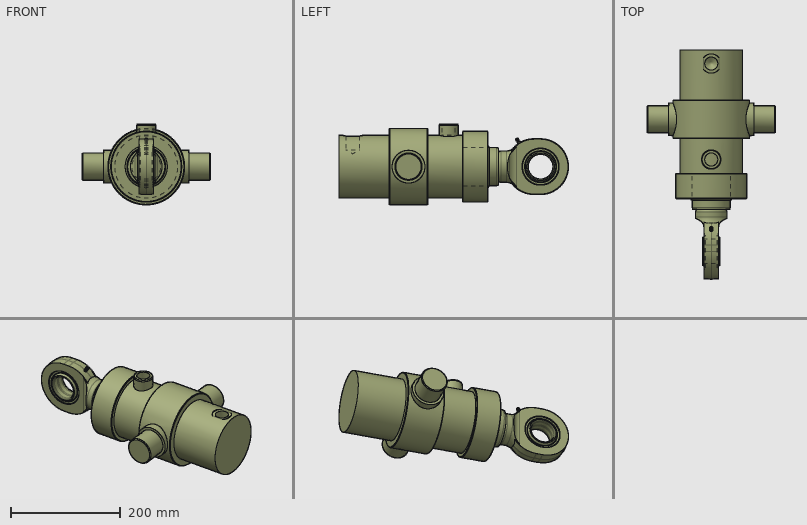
import cadquery as cq
import math


total_length = 419.0
eye_dia = 100.0
eye_crown = 1.05
eye_peak_radius = eye_dia / 2 + eye_crown
barrel_rear = total_length - eye_peak_radius
trunnion_y = 241.0
rear_port_y = 342.7
front_port_y = 167.5
collar_rear = 142.5
collar_front = 96.0
rod_tip = 76.5

barrel_dia = 115.0
collar_dia = 130.0
collar_chamfer = 1.3
ring_dia = 140.0
ring_width = 70.5
ring_chamfer = 1.3
lip_base_dia = 77.0
lip_tip_dia = 71.0
lip_length = 3.0

trunnion_span = 235.0
shoulder_span = 156.0
shoulder_dia = 60.0
trunnion_dia = 50.0
trunnion_chamfer = 1.5

port_dia = 24.0
port_seat_dia = 35.0
boss_top = 77.5
boss_chamfer_height = 2.5
boss_chamfer_inset = 1.05
spotface_depth = 1.5
rear_port_depth = 25.0
drill_tip_angle = 118.0

rod_dia = 70.0
rod_chamfer_length = 3.8
rod_chamfer_inset = 1.05

shank_dia = 58.0
neck_dia = 53.0
neck_length = 4.5
eye_straight = 11.7
shank_fillet = 21.0
eye_width = 27.2
flat_end = 44.0
flare_radius = 14.0
flare_angle = 62.0

bearing_seat_dia = 68.0
bearing_seat_floor_dia = 65.8
bearing_seat_depth = 1.05
ball_gap_dia = 58.2
ball_gap_depth = 1.5
ball_dia = 60.0
ball_width = 32.0
bore_dia = 45.0
bore_rounding = 1.3
groove_dia = 46.0
groove_width = 3.5

nipple_tilt = 32.0
nipple_base_dia = 6.0
nipple_base_height = 2.5
nipple_neck_dia = 3.55
nipple_neck_height = 4.5
nipple_head_dia = 6.0
nipple_head_start = 6.0
nipple_head_end = 8.0
nipple_tip_dia = 3.0
nipple_tip_height = 9.5
nipple_root = 2.0


def cylinder_y(diameter, y_start, y_end):
    """Solid cylinder on the Y axis between two stations."""
    return cq.Workplane("XZ", origin=(0, y_start, 0)).circle(diameter / 2).extrude(y_start - y_end)


def cylinder_x(diameter, length):
    """Solid cylinder on the X axis, centred on the eye."""
    return cq.Workplane("YZ").circle(diameter / 2).extrude(length / 2, both=True)


def make_trunnion():
    """Ring around the barrel with two stepped pins."""
    ring = cylinder_y(ring_dia, trunnion_y - ring_width / 2, trunnion_y + ring_width / 2)
    ring = ring.faces("<Y or >Y").chamfer(ring_chamfer)
    pins = cylinder_x(trunnion_dia, trunnion_span).faces("<X or >X").chamfer(trunnion_chamfer)
    pins = pins.union(cylinder_x(shoulder_dia, shoulder_span))
    return ring.union(pins.translate((0, trunnion_y, 0)))


def make_collar():
    """Front collar with a tapered wiper lip around the rod."""
    collar = cylinder_y(collar_dia, collar_front, collar_rear)
    collar = collar.faces("<Y or >Y").chamfer(collar_chamfer)
    lip = (
        cq.Workplane("XZ", origin=(0, collar_front, 0))
        .circle(lip_base_dia / 2)
        .workplane(offset=lip_length)
        .circle(lip_tip_dia / 2)
        .loft(ruled=True)
    )
    return collar.union(lip)


def add_front_port(body):
    """Raised port boss; its hole stops at the barrel surface."""
    boss = cq.Workplane("XY", origin=(0, front_port_y, 0)).circle(port_seat_dia / 2).extrude(boss_top)
    boss = boss.faces(">Z").chamfer(boss_chamfer_height, boss_chamfer_inset)
    hole = cq.Workplane("XY", origin=(0, front_port_y, 0)).circle(port_dia / 2).extrude(boss_top)
    hole = hole.cut(cylinder_y(barrel_dia, collar_front, barrel_rear))
    return body.union(boss).cut(hole)


def add_rear_port(body):
    """Drilled port with a conical bottom in a shallow spotface."""
    seat_z = barrel_dia / 2 - spotface_depth
    spotface = (
        cq.Workplane("XY", origin=(0, rear_port_y, seat_z)).circle(port_seat_dia / 2).extrude(port_seat_dia)
    )
    tip_height = port_dia / 2 / math.tan(math.radians(drill_tip_angle / 2))
    drill = (
        cq.Workplane("XZ")
        .polyline([
            (0, 0),
            (port_dia / 2, 0),
            (port_dia / 2, -rear_port_depth),
            (0, -rear_port_depth - tip_height),
        ])
        .close()
        .revolve(360, (0, 0), (0, 1))
        .translate((0, rear_port_y, seat_z))
    )
    return body.cut(spotface).cut(drill)


def make_cylinder():
    body = cylinder_y(barrel_dia, collar_rear, barrel_rear)
    body = body.union(make_trunnion()).union(make_collar())
    body = add_front_port(body)
    body = add_rear_port(body)
    return body.cut(cylinder_y(rod_dia, rod_tip, collar_rear))


def make_rod():
    """Piston rod, seated in the collar and chamfered at its front end."""
    rod = cylinder_y(rod_dia, rod_tip, collar_rear)
    return rod.faces("<Y").edges().chamfer(rod_chamfer_length, rod_chamfer_inset)


def make_shank():
    """Turned neck and shank, flaring through a concave blend into a cap inside the eye."""
    cap_radius = eye_dia / 2
    shank_radius = shank_dia / 2
    blend_rise = shank_radius + shank_fillet
    centre_distance = cap_radius + shank_fillet
    blend_reach = math.sqrt(centre_distance ** 2 - blend_rise ** 2)
    blend_y = eye_straight + blend_reach
    to_cap = cap_radius / centre_distance
    cap_end = (blend_rise * to_cap, eye_straight + blend_reach * to_cap)
    half_angle = math.atan2(blend_reach, blend_rise) / 2
    cap_mid = (cap_radius * math.cos(half_angle), eye_straight + cap_radius * math.sin(half_angle))
    blend_mid = (
        blend_rise - shank_fillet * math.cos(half_angle),
        blend_y - shank_fillet * math.sin(half_angle),
    )
    neck_rise = (shank_dia - neck_dia) / 2
    neck_radius = (neck_length ** 2 + neck_rise ** 2) / (2 * neck_rise)
    return (
        cq.Workplane("XY")
        .moveTo(0, eye_straight)
        .lineTo(cap_radius, eye_straight)
        .threePointArc(cap_mid, cap_end)
        .threePointArc(blend_mid, (shank_radius, blend_y))
        .lineTo(shank_radius, rod_tip - neck_length)
        .radiusArc((neck_dia / 2, rod_tip), -neck_radius)
        .lineTo(0, rod_tip)
        .close()
        .revolve(360, (0, 0), (0, 1))
    )


def make_eye():
    """Oblong eye whose rim slopes down from the parting line to both flat faces."""
    half_width = eye_width / 2
    draft = math.degrees(math.atan2(eye_crown, half_width))
    half_eye = (
        cq.Workplane("YZ", origin=(0, eye_straight / 2, 0))
        .slot2D(eye_straight + 2 * eye_peak_radius, 2 * eye_peak_radius)
        .extrude(half_width, taper=draft)
    )
    return half_eye.union(half_eye.mirror("YZ"))


def make_side_cut():
    """Waste on the +X side: flat eye face, concave flare, sloped shoulder."""
    flare = math.radians(flare_angle)
    face_x = eye_width / 2
    outer_x = eye_dia
    flare_x = face_x + flare_radius * (1 - math.cos(flare))
    flare_y = flat_end + flare_radius * math.sin(flare)
    mid_x = face_x + flare_radius * (1 - math.cos(flare / 2))
    mid_y = flat_end + flare_radius * math.sin(flare / 2)
    outer_y = flare_y + (outer_x - flare_x) / math.tan(flare)
    return (
        cq.Workplane("XY")
        .moveTo(face_x, -eye_dia)
        .lineTo(face_x, flat_end)
        .threePointArc((mid_x, mid_y), (flare_x, flare_y))
        .lineTo(outer_x, outer_y)
        .lineTo(outer_x, -eye_dia)
        .close()
        .extrude(eye_dia, both=True)
    )


def add_bearing(body):
    """Spherical bearing: recessed outer ring, protruding ball, grooved bore."""
    seat = (
        cq.Workplane("YZ", origin=(eye_width / 2, 0, 0))
        .circle(bearing_seat_dia / 2)
        .workplane(offset=-bearing_seat_depth)
        .circle(bearing_seat_floor_dia / 2)
        .loft(ruled=True)
    )
    gap_floor = eye_width / 2 - bearing_seat_depth - ball_gap_depth
    gap = cq.Workplane("YZ", origin=(gap_floor, 0, 0)).circle(ball_gap_dia / 2).extrude(eye_width)
    recess = seat.union(gap)
    body = body.cut(recess).cut(recess.mirror("YZ")).cut(cylinder_x(bore_dia, eye_dia))
    return body.union(make_ball())


def make_ball():
    """Ball of the bearing, with a rounded bore and a grease groove around its middle."""
    ball_radius = ball_dia / 2
    bore_radius = bore_dia / 2
    half_width = ball_width / 2
    face_radius = math.sqrt(ball_radius ** 2 - half_width ** 2)
    ball = (
        cq.Workplane("XY")
        .moveTo(-half_width, bore_radius)
        .lineTo(-half_width, face_radius)
        .threePointArc((0, ball_radius), (half_width, face_radius))
        .lineTo(half_width, bore_radius)
        .close()
        .revolve(360, (0, 0), (1, 0))
    )
    bore_rims = cq.selectors.RadiusNthSelector(0)
    ball = ball.faces("<X or >X").edges(bore_rims).fillet(bore_rounding)
    return ball.cut(cylinder_x(groove_dia, groove_width))


def make_nipple():
    """Grease nipple standing square on the rear rounding of the eye."""
    nipple = (
        cq.Workplane("XZ")
        .polyline([
            (0, -nipple_root),
            (nipple_base_dia / 2, -nipple_root),
            (nipple_base_dia / 2, nipple_base_height),
            (nipple_neck_dia / 2, nipple_base_height),
            (nipple_neck_dia / 2, nipple_neck_height),
            (nipple_head_dia / 2, nipple_head_start),
            (nipple_head_dia / 2, nipple_head_end),
            (nipple_tip_dia / 2, nipple_tip_height),
            (0, nipple_tip_height),
        ])
        .close()
        .revolve(360, (0, 0), (0, 1))
        .translate((0, 0, eye_peak_radius))
    )
    return nipple.rotate((0, 0, 0), (1, 0, 0), -nipple_tilt).translate((0, eye_straight, 0))


def make_rod_end():
    side_cut = make_side_cut()
    shank = make_shank().cut(side_cut).cut(side_cut.mirror("YZ"))
    body = add_bearing(shank.union(make_eye()))
    return body.union(make_nipple())


cylinder = make_cylinder()
rod = make_rod()
rod_end = make_rod_end()

result = cq.Compound.makeCompound([cylinder.val(), rod.val(), rod_end.val()])